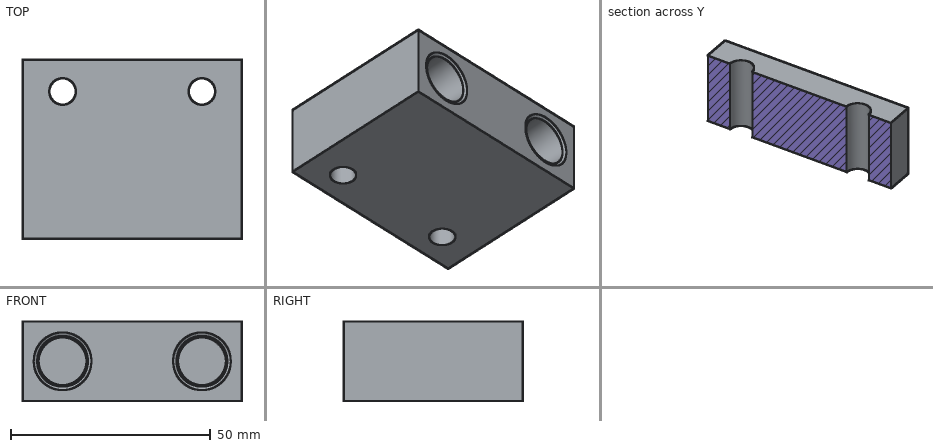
import cadquery as cq

LENGTH_X = 55.0
WIDTH_Y = 45.0
HEIGHT_Z = 20.0

PAIR_SPACING = 35.0
HOLE_XS = [(LENGTH_X - PAIR_SPACING) / 2, (LENGTH_X + PAIR_SPACING) / 2]

MOUNT_DIAMETER = 6.6
MOUNT_BACK_OFFSET = 8.0

MOUTH_DIAMETER = 14.5
MOUTH_DEPTH = 0.5
SOCKET_DIAMETER = 12.75
TAPER_LENGTH = 12.0
TAPER_RATIO = 1 / 16
FLOOR_DIAMETER = SOCKET_DIAMETER - TAPER_LENGTH * TAPER_RATIO
SOCKET_DEPTH = MOUTH_DEPTH + TAPER_LENGTH


def mounting_hole(x):
    """Cutter for a through hole along Z."""
    return (
        cq.Workplane("XY")
        .center(x, WIDTH_Y - MOUNT_BACK_OFFSET)
        .circle(MOUNT_DIAMETER / 2)
        .extrude(HEIGHT_Z)
    )


def tapered_socket(x):
    """Cutter along +Y: countersunk mouth, then a slight taper to a flat floor."""
    half_profile = (
        cq.Workplane("YZ")
        .lineTo(0, MOUTH_DIAMETER / 2)
        .lineTo(MOUTH_DEPTH, SOCKET_DIAMETER / 2)
        .lineTo(SOCKET_DEPTH, FLOOR_DIAMETER / 2)
        .lineTo(SOCKET_DEPTH, 0)
        .close()
    )
    cutter = half_profile.revolve(360, (0, 0, 0), (1, 0, 0))
    return cutter.translate((x, 0, HEIGHT_Z / 2))


result = cq.Workplane("XY").box(LENGTH_X, WIDTH_Y, HEIGHT_Z, centered=False)
for hole_x in HOLE_XS:
    result = result.cut(mounting_hole(hole_x))
    result = result.cut(tapered_socket(hole_x))